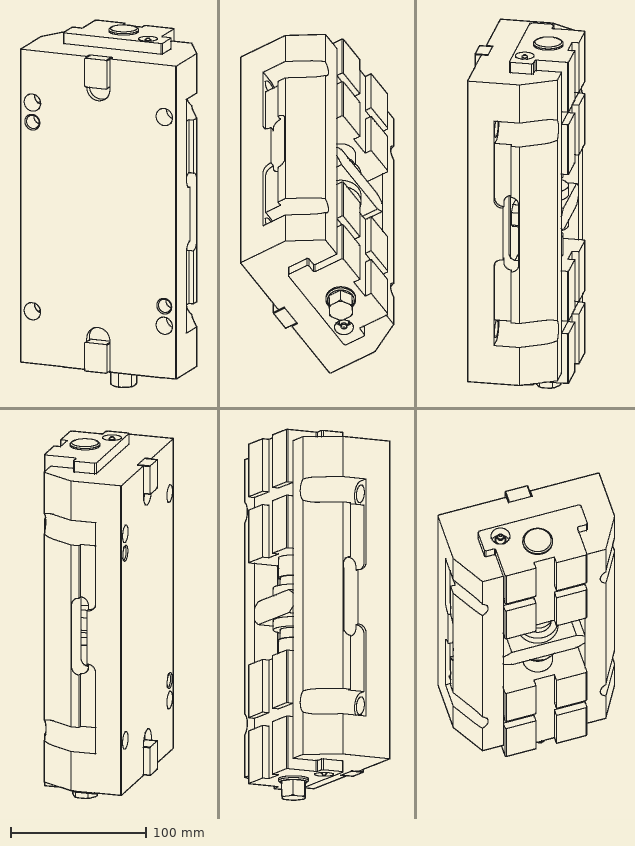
import cadquery as cq
import math


HOUSING_WIDTH = 125.0
HOUSING_LENGTH = 240.0
HOUSING_HEIGHT = 65.0
BEVEL_Y = 39.3
BEVEL_ANGLE = 30
BASE_CHAMFER = 0.5

T_FLOOR_Y = 27.0
T_LEDGE_Y = 45.0
T_FLANGE_WIDTH = 79.7
T_NECK_WIDTH = 63.3
T_CORNER_CHAMFER = 1.0
T_THROAT_CHAMFER = 0.8

MOUNT_X = 53.0
MOUNT_Z = 80.0
MOUNT_DIAMETER = 13.0
COUNTERBORE_DIAMETER = 19.0
COUNTERBORE_FLOOR_Y = 20.0

DOWEL_OFFSET = 15.0
DOWEL_DIAMETER = 10.0
DOWEL_MOUTH_DIAMETER = 12.0
DOWEL_DEPTH = 15.0
DRILL_POINT_ANGLE = 118

WINDOW_Y = 32.8
WINDOW_WIDTH = 12.0
WINDOW_LENGTH = 59.5
GROOVE_DEPTH = 3.5
GROOVE_END_Z = 27.0

KEY_WIDTH = 17.7
KEY_LENGTH = 22.0
KEY_PROUD = 5.0
KEY_CHAMFER = 0.5
KEYWAY_WIDTH = 18.5
KEYWAY_LENGTH = 33.0
KEYWAY_DEPTH = 5.0

JAW_LENGTH = 89.5
JAW_OVERHANG = 8.2
JAW_PROUD = 5.2
JAW_TOP_CHAMFER = 0.8
JAW_GROOVE_DEPTH = 5.2
JAW_LONG_GROOVE_WIDTH = 15.8
JAW_CROSS_GROOVE_WIDTH = 10.0

NIPPLE_X = 24.8
NIPPLE_Y = 35.8
NIPPLE_POCKET_DIAMETER = 14.0
NIPPLE_POCKET_DEPTH = 10.0
NIPPLE_BASE_DIAMETER = 8.5
NIPPLE_BASE_HEIGHT = 4.0
NIPPLE_SHOULDER_DIAMETER = 6.8
NIPPLE_NECK_DIAMETER = 3.5
NIPPLE_HEAD_DIAMETER = 4.5
NIPPLE_HEAD_HEIGHT = 3.3
NIPPLE_TIP_DIAMETER = 1.6
NIPPLE_PROUD = 0.5

SPINDLE_Y = 48.5
SPINDLE_LENGTH = 273.0
SPINDLE_DIAMETER = 22.0
SPINDLE_PROUD = 2.2
SPINDLE_CHAMFER = 1.0
RELIEF_DIAMETER = 20.0
RELIEF_HALF_LENGTH = 23.5
COLLAR_DIAMETER = 30.0
COLLAR_HALF_LENGTH = 15.8
SHOULDER_LENGTH = 2.5
HEX_ACROSS_FLATS = 17.0
HEX_END_CHAMFER = 0.8

BLOCK_THICKNESS = 17.5
BLOCK_SEAT_DEPTH = 5.0
BLOCK_END_FLAT = 9.8
BLOCK_POINT_ANGLE = 60

HALF_WIDTH = HOUSING_WIDTH / 2
HOUSING_END_Z = HOUSING_LENGTH / 2
JAW_END_Z = HOUSING_END_Z + JAW_OVERHANG
JAW_TOP_Y = HOUSING_HEIGHT + JAW_PROUD
SPINDLE_TOP_Z = JAW_END_Z + SPINDLE_PROUD
SPINDLE_BOTTOM_Z = SPINDLE_TOP_Z - SPINDLE_LENGTH


def box(x_range, y_range, z_range):
    """Box between the given limits."""
    size = [high - low for low, high in (x_range, y_range, z_range)]
    corner = (x_range[0], y_range[0], z_range[0])
    return cq.Workplane("XY").box(*size, centered=False).translate(corner)


def along_x(y, z, x_range):
    """Workplane for a sketch in Y, Z, to be extruded from the lower X limit."""
    return cq.Workplane("YZ", origin=(x_range[0], y, z))


def cylinder_y(diameter, x, z, y_low, y_high):
    """Cylinder along Y."""
    base = cq.Workplane("XZ", origin=(x, y_low, z))
    return base.circle(diameter / 2).extrude(y_low - y_high)


def cylinder_z(diameter, x, y, z_low, z_high):
    """Cylinder along Z."""
    base = cq.Workplane("XY", origin=(x, y, z_low))
    return base.circle(diameter / 2).extrude(z_high - z_low)


def at_both_ends(body):
    """Two solids: the body as it stands, and a copy given half a turn about the Y axis."""
    return [body.rotate((0, 0, 0), (0, 1, 0), angle).val() for angle in (0, 180)]


def t_profile(top_y, z_low, z_high):
    """T-shaped bar that slides in the housing, its corners chamfered."""
    neck_half = T_NECK_WIDTH / 2
    flange_half = T_FLANGE_WIDTH / 2
    throat_half = neck_half + T_THROAT_CHAMFER
    throat_y = T_LEDGE_Y + T_THROAT_CHAMFER
    flange = box((-flange_half, flange_half), (T_FLOOR_Y, T_LEDGE_Y), (z_low, z_high))
    flange = flange.edges("|Z").chamfer(T_CORNER_CHAMFER)
    neck_outline = [
        (-throat_half, T_LEDGE_Y),
        (throat_half, T_LEDGE_Y),
        (neck_half, throat_y),
        (neck_half, top_y),
        (-neck_half, top_y),
        (-neck_half, throat_y),
    ]
    neck = cq.Workplane("XY", origin=(0, 0, z_low)).polyline(neck_outline).close().extrude(z_high - z_low)
    return flange.union(neck)


def open_counterbore(side, z):
    """Counterbore around a mounting hole, widened straight out through the side."""
    bore = cylinder_y(COUNTERBORE_DIAMETER, side * MOUNT_X, z, COUNTERBORE_FLOOR_Y, HOUSING_HEIGHT)
    exit_x = sorted((side * MOUNT_X, side * HALF_WIDTH))
    half = COUNTERBORE_DIAMETER / 2
    return bore.union(box(exit_x, (COUNTERBORE_FLOOR_Y, HOUSING_HEIGHT), (z - half, z + half)))


def dowel_hole(x, z):
    """Blind drilled hole in the base with a chamfered mouth and a conical bottom."""
    radius = DOWEL_DIAMETER / 2
    mouth_radius = DOWEL_MOUTH_DIAMETER / 2
    tip_depth = radius / math.tan(math.radians(DRILL_POINT_ANGLE / 2))
    outline = [
        (0, 0),
        (mouth_radius, 0),
        (radius, mouth_radius - radius),
        (radius, DOWEL_DEPTH),
        (0, DOWEL_DEPTH + tip_depth),
    ]
    hole = cq.Workplane("XY").polyline(outline).close().revolve(360, (0, 0, 0), (0, 1, 0))
    return hole.translate((x, 0, z))


def side_window(side):
    """Round-ended opening through a side wall into the T-slot."""
    x_range = sorted((side * T_FLANGE_WIDTH / 2, side * HALF_WIDTH))
    sketch = along_x(WINDOW_Y, 0, x_range).slot2D(WINDOW_LENGTH, WINDOW_WIDTH, 90)
    return sketch.extrude(x_range[1] - x_range[0])


def side_groove(side, end):
    """Shallow groove in a side, from a counterbore to its rounded end beside the window."""
    width = WINDOW_Y - COUNTERBORE_FLOOR_Y
    centre_y = (WINDOW_Y + COUNTERBORE_FLOOR_Y) / 2
    x_range = sorted((side * (HALF_WIDTH - GROOVE_DEPTH), side * HALF_WIDTH))
    z_range = sorted((end * GROOVE_END_Z, end * MOUNT_Z))
    run = box(x_range, (COUNTERBORE_FLOOR_Y, WINDOW_Y), z_range)
    rounded_end = along_x(centre_y, end * GROOVE_END_Z, x_range).circle(width / 2).extrude(GROOVE_DEPTH)
    return run.union(rounded_end)


def keyway(end):
    """Round-ended slot in the base, open at one end of the housing."""
    half = KEYWAY_WIDTH / 2
    round_z = end * (HOUSING_END_Z - KEYWAY_LENGTH + half)
    z_range = sorted((round_z, end * HOUSING_END_Z))
    slot = box((-half, half), (0, KEYWAY_DEPTH), z_range)
    return slot.union(cylinder_y(KEYWAY_WIDTH, 0, round_z, 0, KEYWAY_DEPTH))


def make_housing():
    top_half_width = HALF_WIDTH - (HOUSING_HEIGHT - BEVEL_Y) * math.tan(math.radians(BEVEL_ANGLE))
    outline = [
        (-HALF_WIDTH, 0),
        (HALF_WIDTH, 0),
        (HALF_WIDTH, BEVEL_Y),
        (top_half_width, HOUSING_HEIGHT),
        (-top_half_width, HOUSING_HEIGHT),
        (-HALF_WIDTH, BEVEL_Y),
    ]
    base = cq.Workplane("XY", origin=(0, 0, -HOUSING_END_Z))
    body = base.polyline(outline).close().extrude(HOUSING_LENGTH)
    body = body.edges("|Z and <Y").chamfer(BASE_CHAMFER)
    body = body.cut(t_profile(HOUSING_HEIGHT, -HOUSING_END_Z, HOUSING_END_Z))

    body = body.cut(block_blank())
    for side in (-1, 1):
        body = body.cut(side_window(side))

    for end in (-1, 1):
        body = body.cut(keyway(end))
        for side in (-1, 1):
            body = body.cut(cylinder_y(MOUNT_DIAMETER, side * MOUNT_X, end * MOUNT_Z, 0, HOUSING_HEIGHT))
            body = body.cut(open_counterbore(side, end * MOUNT_Z))
            body = body.cut(side_groove(side, end))
        body = body.cut(dowel_hole(-end * MOUNT_X, end * (MOUNT_Z - DOWEL_OFFSET)))
    return body


def make_nipple():
    """Grease nipple standing on the floor of its pocket."""
    floor_z = JAW_END_Z - NIPPLE_POCKET_DEPTH
    shoulder_z = floor_z + NIPPLE_BASE_HEIGHT
    tip_z = JAW_END_Z + NIPPLE_PROUD
    head_z = tip_z - NIPPLE_HEAD_HEIGHT
    head_radius = NIPPLE_HEAD_DIAMETER / 2
    tip_radius = NIPPLE_TIP_DIAMETER / 2
    outline = [
        (0, floor_z),
        (NIPPLE_BASE_DIAMETER / 2, floor_z),
        (NIPPLE_BASE_DIAMETER / 2, shoulder_z),
        (NIPPLE_SHOULDER_DIAMETER / 2, shoulder_z),
        (NIPPLE_NECK_DIAMETER / 2, head_z),
        (head_radius, head_z),
        (head_radius, tip_z - (head_radius - tip_radius)),
        (tip_radius, tip_z),
        (0, tip_z),
    ]
    nipple = cq.Workplane("XZ").polyline(outline).close().revolve(360, (0, 0, 0), (0, 1, 0))
    return nipple.translate((NIPPLE_X, NIPPLE_Y, 0))


def make_jaw():
    """Jaw at the +Z end of the housing."""
    inner_z = JAW_END_Z - JAW_LENGTH
    middle_z = JAW_END_Z - JAW_LENGTH / 2
    groove_y = (JAW_TOP_Y - JAW_GROOVE_DEPTH, JAW_TOP_Y)
    long_half = JAW_LONG_GROOVE_WIDTH / 2
    cross_half = JAW_CROSS_GROOVE_WIDTH / 2

    jaw = t_profile(JAW_TOP_Y, inner_z, JAW_END_Z)
    jaw = jaw.faces(">Y").edges("|Z").chamfer(JAW_TOP_CHAMFER)
    jaw = jaw.cut(box((-long_half, long_half), groove_y, (inner_z, JAW_END_Z)))
    jaw = jaw.cut(
        box((-T_NECK_WIDTH / 2, T_NECK_WIDTH / 2), groove_y, (middle_z - cross_half, middle_z + cross_half))
    )
    jaw = jaw.cut(cylinder_z(SPINDLE_DIAMETER, 0, SPINDLE_Y, inner_z, JAW_END_Z))
    pocket_floor_z = JAW_END_Z - NIPPLE_POCKET_DEPTH
    jaw = jaw.cut(cylinder_z(NIPPLE_POCKET_DIAMETER, NIPPLE_X, NIPPLE_Y, pocket_floor_z, JAW_END_Z))
    return jaw.union(make_nipple())


def make_spindle():
    """Spindle with two thrust collars either side of the bearing block and a hexagon drive end."""
    shoulder_z = -JAW_END_Z - SHOULDER_LENGTH
    spindle = cylinder_z(SPINDLE_DIAMETER, 0, SPINDLE_Y, shoulder_z, SPINDLE_TOP_Z)
    spindle = spindle.faces("<Z or >Z").chamfer(SPINDLE_CHAMFER)

    relief_range = (-RELIEF_HALF_LENGTH, RELIEF_HALF_LENGTH)
    relief = cylinder_z(SPINDLE_DIAMETER, 0, SPINDLE_Y, *relief_range)
    relief = relief.cut(cylinder_z(RELIEF_DIAMETER, 0, SPINDLE_Y, *relief_range))
    spindle = spindle.cut(relief)
    for z_low, z_high in (
        (-COLLAR_HALF_LENGTH, -BLOCK_THICKNESS / 2),
        (BLOCK_THICKNESS / 2, COLLAR_HALF_LENGTH),
    ):
        spindle = spindle.union(cylinder_z(COLLAR_DIAMETER, 0, SPINDLE_Y, z_low, z_high))

    across_corners = HEX_ACROSS_FLATS / math.cos(math.pi / 6)
    hex_length = shoulder_z - SPINDLE_BOTTOM_Z
    hexagon = cq.Workplane("XY").polygon(6, across_corners).extrude(hex_length)
    hexagon = hexagon.rotate((0, 0, 0), (0, 0, 1), 90)
    turned_blank = cq.Workplane("XY").circle(across_corners / 2).extrude(hex_length)
    turned_blank = turned_blank.faces("<Z").chamfer(HEX_END_CHAMFER)
    drive = hexagon.intersect(turned_blank).translate((0, SPINDLE_Y, SPINDLE_BOTTOM_Z))
    return spindle.union(drive)


def block_blank():
    """Block with pointed ends, without its bore."""
    half_width = T_NECK_WIDTH / 2
    half_thickness = BLOCK_THICKNESS / 2
    end_half = BLOCK_END_FLAT / 2
    point_length = (half_thickness - end_half) * math.tan(math.radians(BLOCK_POINT_ANGLE))
    shoulder_x = half_width - point_length
    outline = [
        (half_width, -end_half),
        (half_width, end_half),
        (shoulder_x, half_thickness),
        (-shoulder_x, half_thickness),
        (-half_width, end_half),
        (-half_width, -end_half),
        (-shoulder_x, -half_thickness),
        (shoulder_x, -half_thickness),
    ]
    bottom_y = T_FLOOR_Y - BLOCK_SEAT_DEPTH
    base = cq.Workplane("XZ", origin=(0, bottom_y, 0))
    return base.polyline(outline).close().extrude(bottom_y - HOUSING_HEIGHT)


def make_bearing_block():
    """Block between the collars that holds the spindle in the middle of the housing."""
    half_thickness = BLOCK_THICKNESS / 2
    return block_blank().cut(cylinder_z(RELIEF_DIAMETER, 0, SPINDLE_Y, -half_thickness, half_thickness))


def make_key():
    """Locating key at the +Z end of the base."""
    half = KEY_WIDTH / 2
    key = box((-half, half), (-KEY_PROUD, KEYWAY_DEPTH), (HOUSING_END_Z - KEY_LENGTH, HOUSING_END_Z))
    return key.edges("|Y").chamfer(KEY_CHAMFER)


housing = make_housing()
spindle = make_spindle()
bearing_block = make_bearing_block()
jaws = at_both_ends(make_jaw())
keys = at_both_ends(make_key())

result = cq.Compound.makeCompound([housing.val(), *jaws, spindle.val(), bearing_block.val(), *keys])